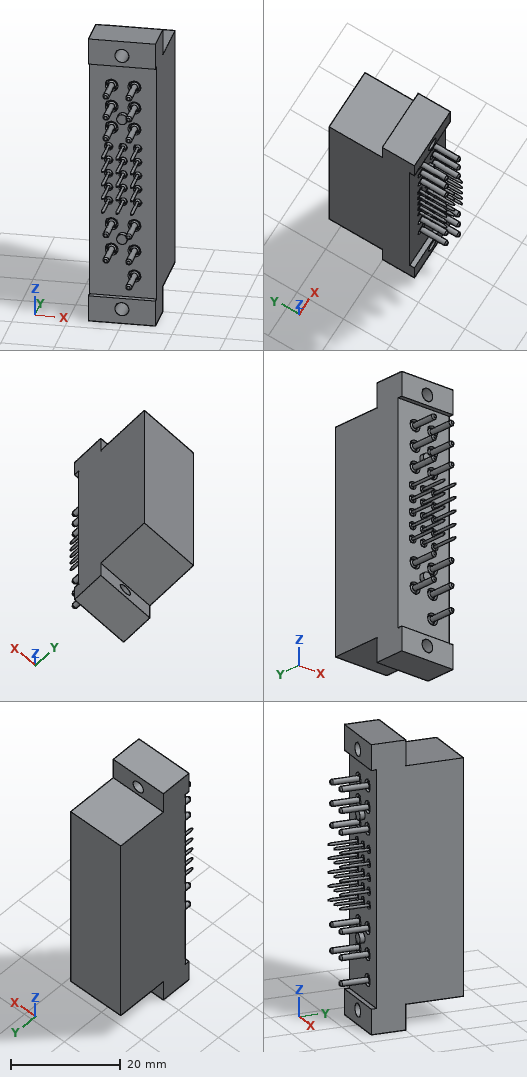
import cadquery as cq

width = 12.55
length = 56.3
body_depth = 17.4
ear_height = 5.0
ear_back = 5.9
standoff = 1.0
body_height = length - 2 * ear_height

mount_hole_diameter = 2.6
mount_hole_z = 25.3

peg_diameter = 1.95
peg_rows_z = [12.55, -11.4]

power_x = 2.15
power_pairs_z = [18.8, 14.65, 10.4, -8.85, -13.9]
power_single_z = -18.9
power_places = [(side * power_x, z) for z in power_pairs_z for side in (-1, 1)]
power_places.append((power_x, power_single_z))

signal_pitch = 2.7
signal_columns = 3
signal_rows = 5
signal_centre_z = 1.2
signal_places = [
    (
        (column - (signal_columns - 1) / 2) * signal_pitch,
        signal_centre_z + (row - (signal_rows - 1) / 2) * signal_pitch,
    )
    for column in range(signal_columns)
    for row in range(signal_rows)
]

recess_depth = 1.0
collar_length = 0.7


def make_block(x_size, y_front, y_back, z_size):
    """Block centred on x = 0 and z = 0, reaching from y_front to y_back."""
    block = cq.Workplane("XY").box(x_size, y_back - y_front, z_size, centered=(True, False, True))
    return block.translate((0, y_front, 0))


def make_cylinder(x, z, diameter, y_front, y_back):
    """Round bar along Y, reaching from y_front to y_back."""
    plane = cq.Workplane("XZ", origin=(x, y_back, z))
    return plane.circle(diameter / 2).extrude(y_back - y_front)


def make_pin(x, z, diameter, reach, tip_diameter, tip_length, collar_diameter, collar_length, depth):
    """Turned pin on a recess floor: a collar with a 45 degree shoulder, the shank and a tapered tip."""
    shoulder_length = (collar_diameter - diameter) / 2
    profile = [
        (0, -depth),
        (collar_diameter / 2, -depth),
        (collar_diameter / 2, collar_length - depth),
        (diameter / 2, collar_length + shoulder_length - depth),
        (diameter / 2, reach - tip_length),
        (tip_diameter / 2, reach),
        (0, reach),
    ]
    pin = cq.Workplane("XY").polyline(profile).close().revolve(360, (0, 0, 0), (0, 1, 0))
    return pin.rotate((0, 0, 0), (0, 0, 1), 180).translate((x, 0, z))


def add_pins(part, places, recess_diameter, recess_depth, **pin_sizes):
    """Sink a round recess at each place and stand a pin on its floor."""
    for x, z in places:
        part = part.cut(make_cylinder(x, z, recess_diameter, 0, recess_depth))
        part = part.union(make_pin(x, z, depth=recess_depth, **pin_sizes))
    return part


def make_housing():
    """Body and ears, with the pin face set back between the ears."""
    body = make_block(width, 0, body_depth, body_height)
    ears = make_block(width, -standoff, ear_back, length)
    ears = ears.cut(make_block(width, -standoff, 0, body_height))
    housing = body.union(ears)
    for z in (-mount_hole_z, mount_hole_z):
        housing = housing.cut(make_cylinder(0, z, mount_hole_diameter, -standoff, ear_back))
    for z in peg_rows_z:
        housing = housing.union(make_cylinder(0, z, peg_diameter, -standoff, 0))
    return housing


result = make_housing()
result = add_pins(
    result,
    power_places,
    recess_diameter=2.35,
    recess_depth=recess_depth,
    diameter=1.1,
    reach=5.6,
    tip_diameter=0.6,
    tip_length=0.35,
    collar_diameter=1.7,
    collar_length=collar_length,
)
result = add_pins(
    result,
    signal_places,
    recess_diameter=1.5,
    recess_depth=recess_depth,
    diameter=0.55,
    reach=5.75,
    tip_diameter=0.3,
    tip_length=0.7,
    collar_diameter=1.2,
    collar_length=collar_length,
)